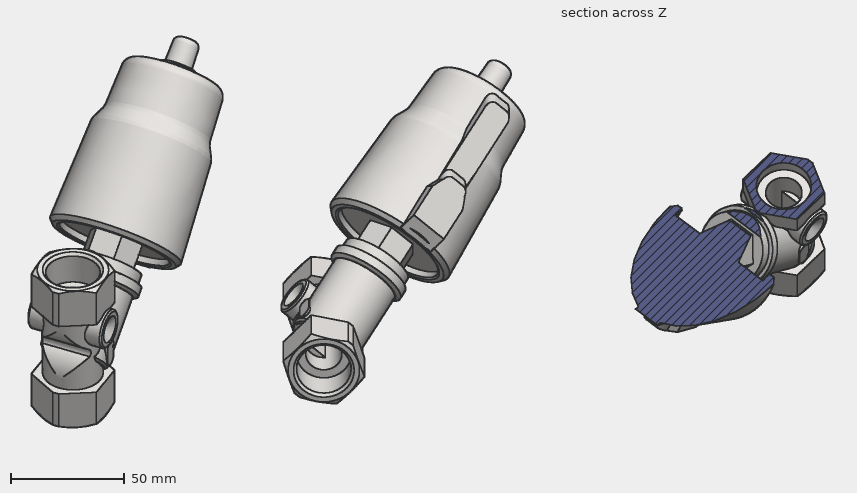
import cadquery as cq
import math


valve_length = 75.0
nut_height = 19.0
nut_across_flats = 32.0
nut_ridge_reach = 17.6
nut_end_flat_radius = 15.8
nut_chamfer_angle = 30.0
pipe_radius = 13.5
bore_diameter = 16.0
port_diameter = 24.12
port_mouth_diameter = 26.8
port_depth = 15.5
notch_edge_y = -6.9
notch_floor_y = -6.3
notch_wall = 0.9

boss_diameter = 18.0
boss_reach = 18.1
boss_height = 10.6
boss_edge_chamfer = 0.8
boss_hole_diameter = 11.5
boss_hole_mouth_diameter = 12.3
boss_hole_depth = 0.4
drill_point_angle = 118.0

pad_width = 6.0
pad_length = 12.6
pad_reach = 16.2
pad_y = 4.8
pad_z = -6.0
pad_thickness = 6.0

tilt = 50.0
pivot_z = -11.36
neck_radius = 15.7
neck_start = 0.7
neck_end_chamfer = 1.0
flange_radius = 18.0
flange_chamfer_start = 34.8
flange_start = 36.1
flange_end = 40.3
collar_radius = 16.1
collar_end = 45.6
stem_across_flats = 22.0
stem_embed = 2.0
skirt_bottom = 54.5
skirt_bottom_radius = 29.0
skirt_chamfer_end = 56.6
skirt_max_radius = 30.83
skirt_top = 104.4
skirt_top_radius = 28.2
cap_start = 111.6
cap_base_radius = 24.7
cap_top = 136.55
cap_top_radius = 23.4
cap_edge_fillet = 5.0
shoulder_blend = 5.0
shoulder_band = 1.0
recess_depth = 3.5
recess_chamfer_height = 0.5
recess_mouth_radius = 26.85
recess_diameter = 51.7
ring_radius = 9.1
ring_chamfer = 1.0
ring_end = 139.6
knob_base_radius = 6.5
knob_top_radius = 5.9
knob_end = 152.5
knob_edge_fillet = 2.9

rail_half_width = 6.5
rail_foot_half_width = 9.0
rail_offset = 29.2
rail_foot_offset = 34.2
rail_end_y = 116.5
rail_step_y = 88.0
rail_bottom_z = 1.8
rail_bottom_offset = 28.5
rail_root_offset = 20.0
rail_root_lower_offset = 26.5
rail_corner_fillet = 3.5
foot_wide_end = 77.3
foot_taper_end = 82.8

hexagon_half_step = 30.0
half_length = valve_length / 2
tilt_sin = math.sin(math.radians(tilt))
tilt_cos = math.cos(math.radians(tilt))


def lean(shape):
    """Move a shape built upright on Z onto the actuator axis."""
    return shape.rotate((0, 0, 0), (1, 0, 0), -tilt).translate((0, 0, pivot_z))


def revolve_profile(points):
    """Solid of revolution about Z from (radius, height) points."""
    return cq.Workplane("XZ").polyline(points).close().revolve(360, (0, 0), (0, 1))


def hexagon(across_flats, height):
    """Upright hexagonal prism with two flats square to X and corners on Y."""
    across_corners = across_flats / math.cos(math.radians(hexagon_half_step))
    prism = cq.Workplane("XY").polygon(6, across_corners).extrude(height)
    return prism.rotate((0, 0, 0), (0, 0, 1), 90)


def end_nut():
    """Upper end nut, chamfered at its outer end."""
    start = half_length - nut_height
    nut = hexagon(nut_across_flats, nut_height).translate((0, 0, start))
    ridge_limit = cq.Workplane("XY").box(2 * nut_across_flats, 2 * nut_ridge_reach, 2 * valve_length)
    envelope_radius = nut_across_flats
    envelope_drop = (envelope_radius - nut_end_flat_radius) * math.tan(math.radians(nut_chamfer_angle))
    envelope = revolve_profile([
        (0, 0),
        (envelope_radius, 0),
        (envelope_radius, half_length - envelope_drop),
        (nut_end_flat_radius, half_length),
        (0, half_length),
    ])
    return nut.intersect(ridge_limit).intersect(envelope)


def end_port():
    """Upper threaded port cavity with a chamfered mouth."""
    mouth_chamfer = (port_mouth_diameter - port_diameter) / 2
    return revolve_profile([
        (0, half_length - port_depth),
        (port_diameter / 2, half_length - port_depth),
        (port_diameter / 2, half_length - mouth_chamfer),
        (port_mouth_diameter / 2, half_length),
        (0, half_length),
    ])


def both_ends(shape):
    """The shape together with its mirror image at the lower end."""
    return shape.union(shape.mirror("XY"))


def notch():
    """Space in front of the pinched pipe: two round shoulders joined by a small rounded floor."""
    shoulder_z = pipe_radius
    edge_z = shoulder_z - math.sqrt(pipe_radius**2 - notch_edge_y**2)
    half_sweep = math.acos(-notch_edge_y / pipe_radius) / 2
    arc_y = -pipe_radius * math.cos(half_sweep)
    arc_z = shoulder_z - pipe_radius * math.sin(half_sweep)
    clear_y = -2 * pipe_radius
    return (
        cq.Workplane("YZ")
        .moveTo(-pipe_radius, shoulder_z)
        .threePointArc((arc_y, arc_z), (notch_edge_y, edge_z))
        .threePointArc((notch_floor_y, 0), (notch_edge_y, -edge_z))
        .threePointArc((arc_y, -arc_z), (-pipe_radius, -shoulder_z))
        .lineTo(clear_y, -shoulder_z)
        .lineTo(clear_y, shoulder_z)
        .close()
        .extrude(2 * pipe_radius, both=True)
    )


def through_bore():
    """Straight bore, flattened behind the notch so that a thin wall remains."""
    bore = cq.Workplane("XY").circle(bore_diameter / 2).extrude(half_length, both=True)
    wall_y = notch_floor_y + notch_wall
    wall = (
        cq.Workplane("XY")
        .box(bore_diameter, bore_diameter, 2 * boss_height)
        .translate((0, wall_y - bore_diameter / 2, 0))
    )
    return bore.cut(wall)


def side_boss():
    """Boss on the +X side."""
    return (
        cq.Workplane("YZ")
        .center(0, boss_height)
        .circle(boss_diameter / 2)
        .extrude(boss_reach)
        .faces(">X")
        .chamfer(boss_edge_chamfer)
    )


def side_boss_hole():
    """Blind drilled hole in the +X boss."""
    radius = boss_hole_diameter / 2
    point_length = radius / math.tan(math.radians(drill_point_angle / 2))
    drill = revolve_profile([
        (0, -boss_hole_depth - point_length),
        (radius, -boss_hole_depth),
        (boss_hole_mouth_diameter / 2, 0),
        (0, 0),
    ])
    return drill.rotate((0, 0, 0), (0, 1, 0), 90).translate((boss_reach, 0, boss_height))


def flow_pad():
    """Raised rounded pad on the +X side of the neck."""
    return (
        cq.Workplane("YZ", origin=(pad_reach - pad_thickness, pad_y, pad_z))
        .slot2D(pad_length, pad_width, 90)
        .extrude(pad_thickness)
    )


def both_sides(shape):
    """The shape together with its mirror image on the -X side."""
    return shape.union(shape.mirror("YZ"))


def neck():
    """Tilted bonnet with its flange, collar and hexagonal stem."""
    bonnet = revolve_profile([
        (0, neck_start),
        (neck_radius - neck_end_chamfer, neck_start),
        (neck_radius, neck_start + neck_end_chamfer),
        (neck_radius, flange_chamfer_start),
        (collar_radius, flange_chamfer_start),
        (flange_radius, flange_start),
        (flange_radius, flange_end),
        (collar_radius, flange_end),
        (collar_radius, collar_end),
        (0, collar_end),
    ])
    stem_length = skirt_bottom + recess_depth + stem_embed - collar_end
    stem = hexagon(stem_across_flats, stem_length).rotate((0, 0, 0), (0, 0, 1), hexagon_half_step)
    stem = stem.translate((0, 0, collar_end))
    return lean(bonnet.union(stem))


def actuator_shell():
    """Stepped actuator housing with the indicator ring and knob on top."""
    shell = revolve_profile([
        (0, skirt_bottom + recess_depth),
        (recess_diameter / 2, skirt_bottom + recess_depth),
        (recess_diameter / 2, skirt_bottom + recess_chamfer_height),
        (recess_mouth_radius, skirt_bottom),
        (skirt_bottom_radius, skirt_bottom),
        (skirt_max_radius, skirt_chamfer_end),
        (skirt_top_radius, skirt_top),
        (cap_base_radius, cap_start),
        (cap_top_radius, cap_top),
        (0, cap_top),
    ])
    shell = shell.faces(">Z").edges().fillet(cap_edge_fillet)
    for height in (skirt_top, cap_start):
        edge_band = cq.selectors.BoxSelector(
            (-skirt_max_radius, -skirt_max_radius, height - shoulder_band),
            (skirt_max_radius, skirt_max_radius, height + shoulder_band),
        )
        shell = shell.edges(edge_band).edges("%CIRCLE").fillet(shoulder_blend)
    ring = (
        cq.Workplane("XY", origin=(0, 0, cap_top))
        .circle(ring_radius)
        .extrude(ring_end - cap_top)
        .faces(">Z")
        .chamfer(ring_chamfer)
    )
    knob = revolve_profile([
        (0, cap_top),
        (knob_base_radius, cap_top),
        (knob_top_radius, knob_end),
        (0, knob_end),
    ])
    knob = knob.faces(">Z").edges().fillet(knob_edge_fillet)
    return lean(shell.union(ring).union(knob))


def under_axis(along, offset):
    """(Y, Z) of the point at a height along the axis and an offset below it."""
    y = along * tilt_sin + offset * tilt_cos
    z = pivot_z + along * tilt_cos - offset * tilt_sin
    return y, z


def under_axis_at_y(y, offset):
    """(Y, Z) of the point with this Y on the line running the offset below the axis."""
    along = (y - offset * tilt_cos) / tilt_sin
    return under_axis(along, offset)


def under_axis_at_z(z, offset):
    """(Y, Z) of the point with this Z on the line running the offset below the axis."""
    along = (z - pivot_z + offset * tilt_sin) / tilt_cos
    return under_axis(along, offset)


def rail_plate(half_width):
    """Stepped plate under the housing, with upright ends and a level bottom."""
    return (
        cq.Workplane("YZ")
        .polyline([
            under_axis_at_y(rail_end_y, rail_root_offset),
            under_axis_at_y(rail_end_y, rail_offset),
            under_axis_at_y(rail_step_y, rail_offset),
            under_axis_at_y(rail_step_y, rail_foot_offset),
            under_axis_at_z(rail_bottom_z, rail_foot_offset),
            under_axis_at_z(rail_bottom_z, rail_bottom_offset),
            under_axis(skirt_chamfer_end, rail_root_lower_offset),
        ])
        .close()
        .extrude(half_width, both=True)
    )


def rail():
    """Rail with rounded upright corners, widened towards its lower foot."""
    slim = rail_plate(rail_half_width).edges("|Z").fillet(rail_corner_fillet)
    foot_outline = (
        cq.Workplane("XZ")
        .polyline([
            (-rail_foot_half_width, 0),
            (rail_foot_half_width, 0),
            (rail_foot_half_width, foot_wide_end),
            (rail_half_width, foot_taper_end),
            (-rail_half_width, foot_taper_end),
            (-rail_foot_half_width, foot_wide_end),
        ])
        .close()
        .extrude(-2 * rail_foot_offset)
    )
    foot = rail_plate(rail_foot_half_width).intersect(lean(foot_outline))
    return slim.union(foot)


pipe = cq.Workplane("XY").circle(pipe_radius).extrude(half_length - nut_height / 2, both=True)
body = pipe.union(neck()).cut(notch())
body = body.union(both_sides(side_boss())).union(both_sides(flow_pad()))
body = body.union(both_ends(end_nut()))
body = body.cut(through_bore()).cut(both_ends(end_port())).cut(both_sides(side_boss_hole()))
result = body.union(actuator_shell()).union(rail())